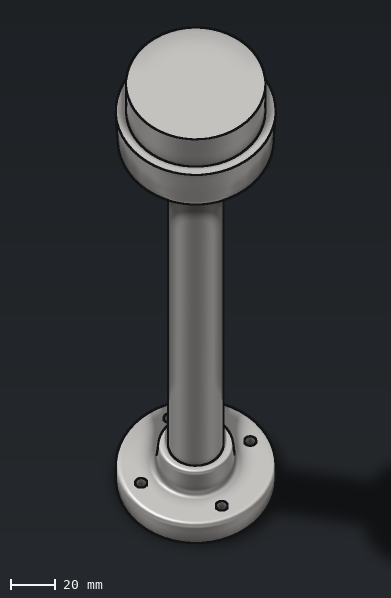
import cadquery as cq
import math

TOTAL_HEIGHT = 295.5
OUTER_DIAMETER = 71.2

FLANGE_HEIGHT = 12.7
FLANGE_EDGE_RADIUS = 2.7
HOLE_DIAMETER = 5.3
HOLE_CIRCLE_RADIUS = 27.0
HOLE_COUNT = 4

COLLAR_TOP = 26.5
COLLAR_TOP_RADIUS = 16.5
COLLAR_BASE_RADIUS = 17.7
COLLAR_EDGE_RADIUS = 2.0
COLLAR_FLARE_RADIUS = 3.5

POLE_DIAMETER = 24.8

CAP_DIAMETER = 62.0
CAP_HEIGHT = 20.5
RIM_HEIGHT = 2.7
CUP_HEIGHT = 24.5
CUP_BASE_DIAMETER = 69.0
CUP_EDGE_RADIUS = 6.0

RIM_TOP = TOTAL_HEIGHT - CAP_HEIGHT
RIM_BOTTOM = RIM_TOP - RIM_HEIGHT
CUP_BOTTOM = RIM_BOTTOM - CUP_HEIGHT


def cylinder(diameter, bottom, top):
    """Upright cylinder on the Z axis."""
    return cq.Workplane("XY").workplane(offset=bottom).circle(diameter / 2).extrude(top - bottom)


def cone(base_radius, top_radius, bottom, top):
    """Upright truncated cone on the Z axis."""
    profile = [(0, bottom), (base_radius, bottom), (top_radius, top), (0, top)]
    return cq.Workplane("XZ").polyline(profile).close().revolve(360, (0, 0, 0), (0, 1, 0))


def make_base():
    """Flange and collar with rounded edges, a flared joint and mounting holes on the X and Y axes."""
    flange = cylinder(OUTER_DIAMETER, 0, FLANGE_HEIGHT).faces(">Z").edges().fillet(FLANGE_EDGE_RADIUS)
    collar = cone(COLLAR_BASE_RADIUS, COLLAR_TOP_RADIUS, FLANGE_HEIGHT, COLLAR_TOP)
    base = flange.union(collar).faces(">Z").edges().fillet(COLLAR_EDGE_RADIUS)
    near_joint = cq.selectors.BoxSelector(
        (-HOLE_CIRCLE_RADIUS, -HOLE_CIRCLE_RADIUS, FLANGE_HEIGHT - FLANGE_EDGE_RADIUS),
        (HOLE_CIRCLE_RADIUS, HOLE_CIRCLE_RADIUS, FLANGE_HEIGHT + FLANGE_EDGE_RADIUS),
        boundingbox=True,
    )
    base = base.edges(near_joint).fillet(COLLAR_FLARE_RADIUS)
    for index in range(HOLE_COUNT):
        angle = 2 * math.pi * index / HOLE_COUNT
        position = (HOLE_CIRCLE_RADIUS * math.cos(angle), HOLE_CIRCLE_RADIUS * math.sin(angle))
        base = base.cut(cylinder(HOLE_DIAMETER, 0, FLANGE_HEIGHT).translate(position + (0,)))
    return base


def make_head():
    """Tapered cup rounded at its lower edge, with the rim and cap above it."""
    cup = cone(CUP_BASE_DIAMETER / 2, OUTER_DIAMETER / 2, CUP_BOTTOM, RIM_BOTTOM)
    cup = cup.faces("<Z").edges().fillet(CUP_EDGE_RADIUS)
    rim = cylinder(OUTER_DIAMETER, RIM_BOTTOM, RIM_TOP)
    cap = cylinder(CAP_DIAMETER, RIM_TOP, TOTAL_HEIGHT)
    return cup.union(rim).union(cap)


pole = cylinder(POLE_DIAMETER, 0, CUP_BOTTOM)
result = make_base().union(pole).union(make_head())